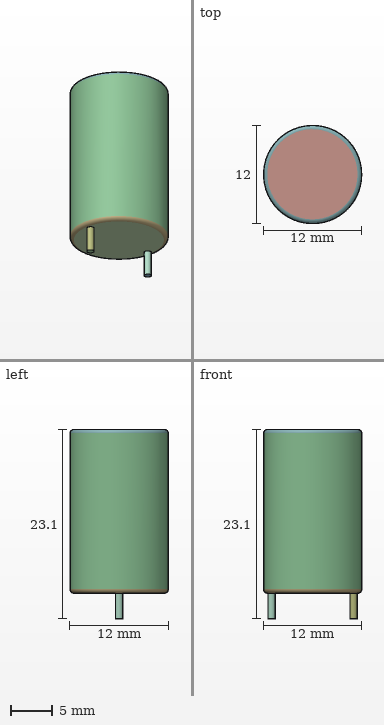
import cadquery as cq

body_diameter = 12.0
body_height = 20.0
edge_radius = 0.5
pin_diameter = 0.9
pin_pitch = 10.0
pin_length = 3.1
pin_embed = 1.0


def make_body():
    """Cylindrical can with its bottom at Z = 0 and both rims rounded."""
    can = cq.Workplane("XY").circle(body_diameter / 2).extrude(body_height)
    return can.faces("<Z or >Z").edges().fillet(edge_radius)


def make_pin(x):
    """Round pin at the given X, overlapping the body so the two fuse."""
    return (
        cq.Workplane("XY", origin=(x, 0, -pin_length))
        .circle(pin_diameter / 2)
        .extrude(pin_length + pin_embed)
    )


result = make_body()
for pin_x in (-pin_pitch / 2, pin_pitch / 2):
    result = result.union(make_pin(pin_x))